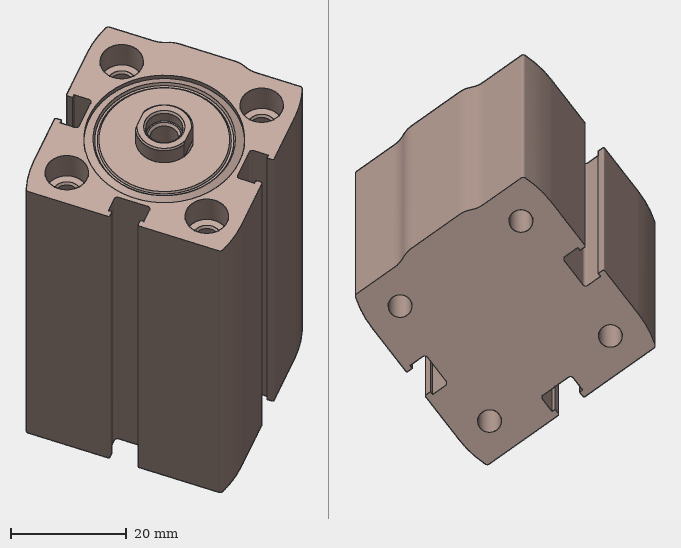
import cadquery as cq
import math

TOTAL_HEIGHT = 72.0
ROD_PROJECTION = 3.45
HOUSING_HEIGHT = TOTAL_HEIGHT - ROD_PROJECTION
WIDTH = 38.5
HALF_WIDTH = WIDTH / 2

SIDE_FLAT_HALF = 12.7
CORNER_INSET = 1.15
CORNER_RADIUS = 0.6
BUMP_HEIGHT = 1.0
BUMP_TOP_HALF = 5.1
BUMP_FOOT_HALF = 9.5

SLOT_DEPTH = 4.5
SLOT_WIDTH = 6.55
SLOT_MOUTH = 5.25
SLOT_LIP = 1.2
SLOT_FILLET = 0.6
MOUTH_ROUND = 0.3
SLOT_ANGLES = (0, 90, 270)

HOLE_PITCH = 26.0
HOLE_DIAMETER = 4.1
COUNTERBORE_DIAMETER = 7.5
COUNTERBORE_DEPTH = 5.75
COUNTERSINK_DIAMETER = 4.9

CAP_DIAMETER = 27.8
BEVEL_TOP_DIAMETER = 24.6
BEVEL_DEPTH = 0.9
GROOVE_OUTER_DIAMETER = 24.05
GROOVE_INNER_DIAMETER = 23.2
GROOVE_DEPTH = 0.5
DISC_DIAMETER = 22.6
DISC_RECESS = 0.2

ROD_DIAMETER = 10.0
ROD_CHAMFER = 0.3
ROD_SEAT_DEPTH = 14.4
ROD_FLATS = 9.0
FLAT_END_DEPTH = 0.6
FLAT_RUNOUT = 1.45
BORE_DIAMETER = 6.4
BORE_CHAMFER = 0.35
BORE_DEPTH = 2.5
COUNTERSUNK_LEDGE_DIAMETER = 5.8
THREAD_DIAMETER = 4.9
THREAD_DEPTH = 10.1
DRILL_POINT_ANGLE = 118.0

CLEARANCE = 0.7


def revolve_about_z(points):
    """Solid of revolution about Z from (radius, height) points."""
    return cq.Workplane("XZ").polyline(points).close().revolve(360, (0, 0, 0), (0, 1, 0))


def housing_block():
    """Extruded outline with bowed sides, rounded corners and the raised strip on +Y."""
    corner_x = HALF_WIDTH - CORNER_INSET

    arc_length_y = HALF_WIDTH - SIDE_FLAT_HALF
    arc_radius = (arc_length_y ** 2 + CORNER_INSET ** 2) / (2 * CORNER_INSET)
    mid_angle = math.asin(arc_length_y / arc_radius) / 2
    mid_x = HALF_WIDTH - arc_radius * (1 - math.cos(mid_angle))
    mid_y = SIDE_FLAT_HALF + arc_radius * math.sin(mid_angle)

    bump_y = HALF_WIDTH + BUMP_HEIGHT
    blend_x = (BUMP_TOP_HALF + BUMP_FOOT_HALF) / 2
    blend_y = HALF_WIDTH + BUMP_HEIGHT / 2

    block = (
        cq.Workplane("XY")
        .moveTo(-corner_x, -HALF_WIDTH)
        .lineTo(corner_x, -HALF_WIDTH)
        .threePointArc((mid_x, -mid_y), (HALF_WIDTH, -SIDE_FLAT_HALF))
        .lineTo(HALF_WIDTH, SIDE_FLAT_HALF)
        .threePointArc((mid_x, mid_y), (corner_x, HALF_WIDTH))
        .lineTo(BUMP_FOOT_HALF, HALF_WIDTH)
        .tangentArcPoint((blend_x, blend_y), relative=False)
        .tangentArcPoint((BUMP_TOP_HALF, bump_y), relative=False)
        .lineTo(-BUMP_TOP_HALF, bump_y)
        .tangentArcPoint((-blend_x, blend_y), relative=False)
        .tangentArcPoint((-BUMP_FOOT_HALF, HALF_WIDTH), relative=False)
        .lineTo(-corner_x, HALF_WIDTH)
        .threePointArc((-mid_x, mid_y), (-HALF_WIDTH, SIDE_FLAT_HALF))
        .lineTo(-HALF_WIDTH, -SIDE_FLAT_HALF)
        .threePointArc((-mid_x, -mid_y), (-corner_x, -HALF_WIDTH))
        .close()
        .extrude(HOUSING_HEIGHT)
    )
    for x in (-corner_x, corner_x):
        for y in (-HALF_WIDTH, HALF_WIDTH):
            corner = cq.NearestToPointSelector((x, y, HOUSING_HEIGHT / 2))
            block = block.edges(corner).fillet(CORNER_RADIUS)
    return block


def t_slot(angle):
    """Full-height T-slot cutter in the -Y side, turned about Z by the angle."""
    pocket_depth = SLOT_DEPTH - SLOT_LIP
    pocket = (
        cq.Workplane("XY")
        .center(0, -HALF_WIDTH + SLOT_LIP + pocket_depth / 2)
        .rect(SLOT_WIDTH, pocket_depth)
        .extrude(HOUSING_HEIGHT)
        .edges("|Z and >Y")
        .fillet(SLOT_FILLET)
    )
    mouth_half = SLOT_MOUTH / 2
    flare_half = mouth_half + MOUTH_ROUND
    flare_y = -HALF_WIDTH + MOUTH_ROUND
    lip_y = -HALF_WIDTH + SLOT_LIP
    mouth = (
        cq.Workplane("XY")
        .moveTo(-flare_half, -HALF_WIDTH)
        .radiusArc((-mouth_half, flare_y), -MOUTH_ROUND)
        .lineTo(-mouth_half, lip_y)
        .lineTo(mouth_half, lip_y)
        .lineTo(mouth_half, flare_y)
        .radiusArc((flare_half, -HALF_WIDTH), -MOUTH_ROUND)
        .close()
        .extrude(HOUSING_HEIGHT)
    )
    return pocket.union(mouth).rotate((0, 0, 0), (0, 0, 1), angle)


def mounting_hole(x, y):
    """Through hole with a countersink at the floor of its counterbore."""
    hole_radius = HOLE_DIAMETER / 2
    sink_radius = COUNTERSINK_DIAMETER / 2
    bore_radius = COUNTERBORE_DIAMETER / 2
    floor_z = HOUSING_HEIGHT - COUNTERBORE_DEPTH
    cutter = revolve_about_z([
        (0, 0),
        (hole_radius, 0),
        (hole_radius, floor_z - (sink_radius - hole_radius)),
        (sink_radius, floor_z),
        (bore_radius, floor_z),
        (bore_radius, HOUSING_HEIGHT),
        (0, HOUSING_HEIGHT),
    ])
    return cutter.translate((x, y, 0))


def cap_recess():
    """Cutter that leaves the bevelled rim, the ring groove and the flat disc of the cap."""
    groove_z = HOUSING_HEIGHT - GROOVE_DEPTH
    disc_z = HOUSING_HEIGHT - DISC_RECESS
    return revolve_about_z([
        (0, disc_z),
        (DISC_DIAMETER / 2, disc_z),
        (GROOVE_INNER_DIAMETER / 2, groove_z),
        (GROOVE_OUTER_DIAMETER / 2, groove_z),
        (BEVEL_TOP_DIAMETER / 2, HOUSING_HEIGHT),
        (CAP_DIAMETER / 2, HOUSING_HEIGHT - BEVEL_DEPTH),
        (CAP_DIAMETER / 2, HOUSING_HEIGHT + CLEARANCE),
        (0, HOUSING_HEIGHT + CLEARANCE),
    ])


def rod_cylinder():
    """Plain round of the rod, from its seat in the housing to the rod end."""
    return (
        cq.Workplane("XY")
        .workplane(offset=HOUSING_HEIGHT - ROD_SEAT_DEPTH)
        .circle(ROD_DIAMETER / 2)
        .extrude(ROD_SEAT_DEPTH + ROD_PROJECTION)
    )


def flat_cutter(side):
    """Cutter for one wrench flat; side is +1 for +X and -1 for -X."""
    flat_x = side * ROD_FLATS / 2
    outer_x = side * (ROD_FLATS / 2 + FLAT_RUNOUT)
    end_z = HOUSING_HEIGHT - FLAT_END_DEPTH
    top_z = TOTAL_HEIGHT + CLEARANCE
    return (
        cq.Workplane("XZ")
        .polyline([(flat_x, end_z), (outer_x, end_z - FLAT_RUNOUT), (outer_x, top_z), (flat_x, top_z)])
        .close()
        .extrude(ROD_DIAMETER, both=True)
    )


def rod_end_bore():
    """Chamfered bore leading over a countersunk ledge into a drilled thread hole."""
    bore_radius = BORE_DIAMETER / 2
    ledge_radius = COUNTERSUNK_LEDGE_DIAMETER / 2
    thread_radius = THREAD_DIAMETER / 2
    ledge_z = TOTAL_HEIGHT - BORE_DEPTH
    thread_end_z = TOTAL_HEIGHT - THREAD_DEPTH
    point_height = thread_radius / math.tan(math.radians(DRILL_POINT_ANGLE / 2))
    return revolve_about_z([
        (0, TOTAL_HEIGHT),
        (bore_radius + BORE_CHAMFER, TOTAL_HEIGHT),
        (bore_radius, TOTAL_HEIGHT - BORE_CHAMFER),
        (bore_radius, ledge_z),
        (ledge_radius, ledge_z),
        (thread_radius, ledge_z - (ledge_radius - thread_radius)),
        (thread_radius, thread_end_z),
        (0, thread_end_z - point_height),
    ])


def make_housing():
    """Cylinder housing with its T-slots, mounting holes, cap and rod seat."""
    housing = housing_block()
    for angle in SLOT_ANGLES:
        housing = housing.cut(t_slot(angle))
    for x in (-HOLE_PITCH / 2, HOLE_PITCH / 2):
        for y in (-HOLE_PITCH / 2, HOLE_PITCH / 2):
            housing = housing.cut(mounting_hole(x, y))
    return housing.cut(cap_recess()).cut(rod_cylinder())


def make_piston_rod():
    """Round rod with a chamfered end, two wrench flats and a threaded end bore."""
    rod = rod_cylinder().faces(">Z").chamfer(ROD_CHAMFER)
    for side in (-1, 1):
        rod = rod.cut(flat_cutter(side))
    return rod.cut(rod_end_bore())


housing = make_housing().solids()
piston_rod = make_piston_rod().solids()

result = cq.Compound.makeCompound([housing.val(), piston_rod.val()])